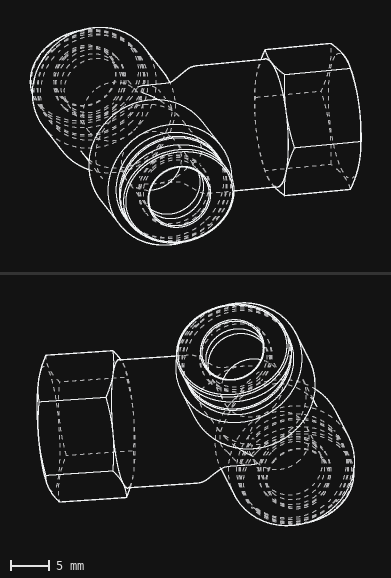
import cadquery as cq
import math


neck_diameter = 13.05
barrel_diameter = 16.9
run_reach = 18.95
cone_start = 6.0
cone_end = 9.0
shoulder_tangent = 0.6

hex_across_flats = 17.0
hex_length = 10.0
hex_end = 29.0
hex_outer_circle = 16.5
hex_bevel_angle = 20.0
branch_reach = hex_end - hex_length

collar_diameter = 14.7
collar_end = 20.65
collar_chamfer = 0.15

button_end = 23.6
flange_start = 21.55
flange_width = 15.05
flange_height = 13.07
flange_chamfer = 0.25
stem_diameter = 9.6
mouth_diameter = 8.55

bore_diameter = 8.2
bore_bottom = cone_end + shoulder_tangent

run_sides = (-1, 1)


def cylinder_along_x(diameter, start, end):
    """Cylinder on the X axis between two X positions."""
    return cq.Workplane("YZ").workplane(offset=start).circle(diameter / 2).extrude(end - start)


def make_arm(reach):
    """One arm of the tee along +X: neck, rounded cone and barrel as one turned shape."""
    neck_radius = neck_diameter / 2
    barrel_radius = barrel_diameter / 2
    cone_angle = math.atan2(barrel_radius - neck_radius, cone_end - cone_start)
    tangent_x = shoulder_tangent * math.cos(cone_angle)
    tangent_r = shoulder_tangent * math.sin(cone_angle)
    return (
        cq.Workplane("XY")
        .lineTo(0, neck_radius)
        .lineTo(cone_start - shoulder_tangent, neck_radius)
        .tangentArcPoint((cone_start + tangent_x, neck_radius + tangent_r), relative=False)
        .lineTo(cone_end - tangent_x, barrel_radius - tangent_r)
        .tangentArcPoint((cone_end + shoulder_tangent, barrel_radius), relative=False)
        .lineTo(reach, barrel_radius)
        .lineTo(reach, 0)
        .close()
        .revolve(360, (0, 0, 0), (1, 0, 0))
    )


def place_on_side(shape, side):
    """Keep a +X shape where it is, or turn it half round Z to the -X side."""
    return shape if side > 0 else shape.rotate((0, 0, 0), (0, 0, 1), 180)


def make_housing():
    """Tee housing with a blind tube bore in each end of the run."""
    run_arm = make_arm(run_reach)
    branch = make_arm(branch_reach).rotate((0, 0, 0), (0, 0, 1), 90)
    bore = cylinder_along_x(bore_diameter, bore_bottom, run_reach)
    housing = place_on_side(run_arm, -1).union(run_arm).union(branch)
    for side in run_sides:
        housing = housing.cut(place_on_side(bore, side))
    return housing


def make_hex_end():
    """Hexagon on the branch with its corners turned off at both end faces."""
    corner_radius = hex_across_flats / math.sqrt(3)
    inner_radius = hex_across_flats / 2
    outer_radius = hex_outer_circle / 2
    slope = math.tan(math.radians(hex_bevel_angle))
    inner_bevel = (corner_radius - inner_radius) * slope
    outer_bevel = (corner_radius - outer_radius) * slope
    hexagon = (
        cq.Workplane("XZ", origin=(0, branch_reach, 0))
        .polygon(6, 2 * corner_radius)
        .extrude(-hex_length)
    )
    envelope = (
        cq.Workplane("XY")
        .moveTo(0, branch_reach)
        .lineTo(inner_radius, branch_reach)
        .lineTo(corner_radius, branch_reach + inner_bevel)
        .lineTo(corner_radius, hex_end - outer_bevel)
        .lineTo(outer_radius, hex_end)
        .lineTo(0, hex_end)
        .close()
        .revolve(360, (0, 0, 0), (0, 1, 0))
    )
    return hexagon.intersect(envelope)


def make_collar():
    """Ring on the +X face of the housing."""
    ring = cylinder_along_x(collar_diameter, run_reach, collar_end)
    ring = ring.faces(">X").edges().chamfer(collar_chamfer)
    return ring.cut(cylinder_along_x(bore_diameter, run_reach, collar_end))


def make_button():
    """Release button at +X: a short round stem with an oval flange and a bevelled mouth."""
    flange = (
        cq.Workplane("YZ")
        .workplane(offset=flange_start)
        .ellipse(flange_width / 2, flange_height / 2)
        .extrude(button_end - flange_start)
        .faces(">X")
        .edges()
        .chamfer(flange_chamfer)
    )
    button = flange.union(cylinder_along_x(stem_diameter, collar_end, flange_start))
    button = button.cut(cylinder_along_x(bore_diameter, collar_end, button_end))
    mouth_chamfer = (mouth_diameter - bore_diameter) / 2
    return button.faces(">X").edges("%CIRCLE").chamfer(mouth_chamfer)


housing = make_housing()
hex_end_body = make_hex_end()
collars = [place_on_side(make_collar(), side) for side in run_sides]
buttons = [place_on_side(make_button(), side) for side in run_sides]

result = cq.Compound.makeCompound(
    [
        housing.val(),
        hex_end_body.val(),
        *[collar.val() for collar in collars],
        *[button.val() for button in buttons],
    ]
)